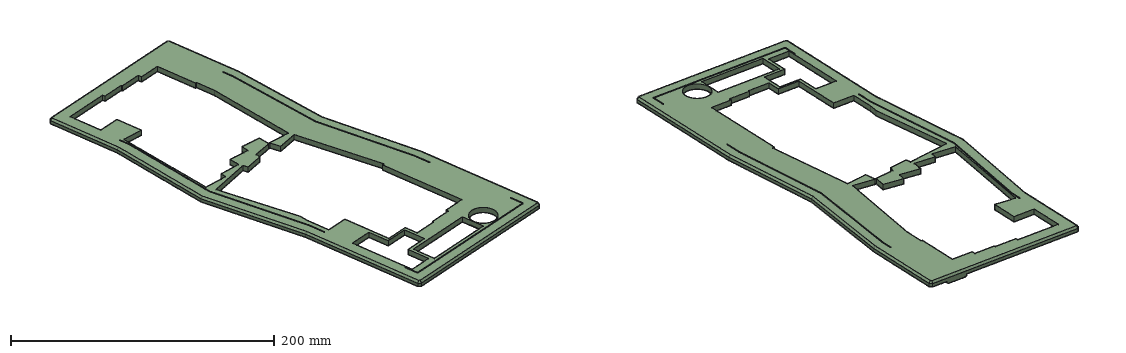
import cadquery as cq
import math

length = 365.3
width = 157.0
plate_thickness = 4.7
tab_depth = 2.2

x_left = -length / 2
x_right = length / 2
y_back = width / 2
x_centre = -22.3

back_bend_span = 89.5
front_bend_span = 93.0
back_bend_drop = 10.0
y_front_left = -65.0
y_front_right = -67.2
corner_chamfer = 2.0
rim_chamfer_height = 2.0
rim_chamfer_inset = 1.5

y_row_top = 43.5
y_row_2 = 24.5
y_row_3 = 5.5
y_row_4 = -14.2
y_bottom_row_top = -34.0
y_bottom_row_end = -53.5

encoder_diameter = 22.3
encoder_centre = (160.5, 36.5)
side_slot_x = (149.5, 170.0)
side_slot_y = (y_bottom_row_top, 25.0)
arrow_row_x = (108.0, 166.5)
arrow_row_y = (-56.5, -37.0)
arrow_stem_x = (127.0, 146.5)
arrow_stem_top = -17.0

groove_width = 0.5
groove_depth = 0.5
groove_back_y = 69.0
groove_front_left_y = -55.0
groove_front_right_y = -57.7
groove_left_x = -121.0
groove_right_x = 81.5
groove_bend_span = 88.8
groove_back_drop = 10.0
groove_front_apex_y = -68.3
bracket_x = 172.8
bracket_arm = 12.0

tab_length = 8.8
tab_y = (44.0, 63.0)
tab_chamfer = 1.0


def through_cut(points):
    """Prism over a closed outline that passes right through the plate."""
    return cq.Workplane("XY").polyline(points).close().extrude(plate_thickness)


def box_between(x_range, y_range, bottom, height):
    """Upright block between two X and two Y limits."""
    size_x = x_range[1] - x_range[0]
    size_y = y_range[1] - y_range[0]
    block = cq.Workplane("XY").box(size_x, size_y, height, centered=False)
    return block.translate((x_range[0], y_range[0], bottom))


def groove(points):
    """Narrow cut in the top face that follows an open path."""
    path = cq.Workplane("XY").workplane(offset=plate_thickness - groove_depth).polyline(points)
    strip = path.offset2D(groove_width / 2)
    return strip.extrude(groove_depth)


def make_plate():
    outline = [
        (x_left, y_back),
        (x_centre - back_bend_span, y_back),
        (x_centre, y_back - back_bend_drop),
        (x_centre + back_bend_span, y_back),
        (x_right, y_back),
        (x_right, y_front_right),
        (x_centre + front_bend_span, y_front_right),
        (x_centre, -width / 2),
        (x_centre - front_bend_span, y_front_left),
        (x_left, y_front_left),
    ]
    straight_height = plate_thickness - rim_chamfer_height
    base = cq.Workplane("XY").polyline(outline).close().extrude(straight_height)
    base = base.edges("|Z and (<X or >X)").chamfer(corner_chamfer)
    rim_angle = math.degrees(math.atan2(rim_chamfer_inset, rim_chamfer_height))
    return base.faces(">Z").wires().toPending().extrude(rim_chamfer_height, taper=rim_angle)


def make_left_opening():
    return through_cut([
        (-164.5, y_row_top),
        (-127.0, y_row_top),
        (-127.0, 44.5),
        (-109.5, 44.5),
        (-27.8, 33.2),
        (-30.3, 13.5),
        (-30.3, 12.5),
        (-40.5, 14.0),
        (-43.0, -4.0),
        (-36.0, -5.0),
        (-38.7, -23.7),
        (-29.2, -25.0),
        (-31.0, -44.0),
        (-26.0, -44.5),
        (-28.0, -65.5),
        (-119.0, -52.5),
        (-117.0, y_bottom_row_top),
        (-141.0, y_bottom_row_top),
        (-141.0, y_bottom_row_end),
        (-171.0, y_bottom_row_end),
        (-171.0, y_row_4),
        (-168.8, y_row_4),
        (-168.8, y_row_3),
        (-167.5, y_row_3),
        (-167.5, y_row_2),
        (-164.5, y_row_2),
    ])


def make_right_opening():
    return through_cut([
        (-23.0, 34.5),
        (56.0, 45.3),
        (56.0, y_row_top),
        (133.7, y_row_top),
        (133.7, y_row_2),
        (136.0, y_row_2),
        (136.0, y_row_3),
        (137.0, y_row_3),
        (137.0, y_row_4),
        (125.3, y_row_4),
        (125.3, y_bottom_row_top),
        (82.2, y_bottom_row_top),
        (82.2, y_bottom_row_end),
        (61.5, y_bottom_row_end),
        (53.5, -52.2),
        (-20.0, -63.2),
        (-25.5, -24.0),
        (-21.2, -23.5),
        (-23.5, -6.5),
        (-27.8, -5.5),
        (-30.0, 13.5),
        (-20.5, 15.0),
    ])


def make_right_cluster():
    encoder = cq.Workplane("XY").center(*encoder_centre).circle(encoder_diameter / 2)
    encoder = encoder.extrude(plate_thickness)
    side_slot = box_between(side_slot_x, side_slot_y, 0, plate_thickness)
    arrow_row = box_between(arrow_row_x, arrow_row_y, 0, plate_thickness)
    arrow_stem = box_between(arrow_stem_x, (arrow_row_y[0], arrow_stem_top), 0, plate_thickness)
    return encoder.union(side_slot).union(arrow_row.union(arrow_stem))


def make_grooves():
    back = groove([
        (groove_left_x, groove_back_y),
        (x_centre - groove_bend_span, groove_back_y),
        (x_centre, groove_back_y - groove_back_drop),
        (x_centre + groove_bend_span, groove_back_y),
        (groove_right_x, groove_back_y),
    ])
    front = groove([
        (groove_left_x, groove_front_left_y),
        (x_centre - groove_bend_span, groove_front_left_y),
        (x_centre, groove_front_apex_y),
        (x_centre + groove_bend_span, groove_front_right_y),
        (groove_right_x, groove_front_right_y),
    ])
    bracket = groove([
        (bracket_x - bracket_arm, groove_back_y),
        (bracket_x, groove_back_y),
        (bracket_x, groove_front_right_y),
        (bracket_x - bracket_arm, groove_front_right_y),
    ])
    return [back, front, bracket]


def make_tab():
    tab = box_between((x_left, x_left + tab_length), tab_y, -tab_depth, tab_depth)
    return tab.faces("<Z").edges("|X").chamfer(tab_chamfer)


result = make_plate()
for opening in [make_left_opening(), make_right_opening(), make_right_cluster()]:
    result = result.cut(opening)
for line in make_grooves():
    result = result.cut(line)
result = result.union(make_tab())